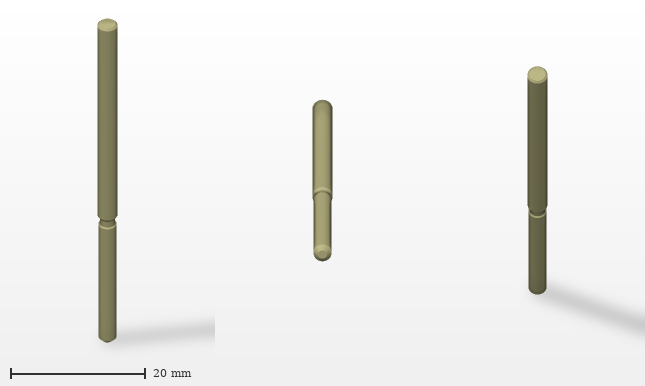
import cadquery as cq

TOTAL_LENGTH = 60.0

BARREL_RADIUS = 1.5
BARREL_BOTTOM = 23.3
BARREL_TOP_CHAMFER_WIDTH = 0.3
BARREL_TOP_CHAMFER_HEIGHT = 0.3
BARREL_BOTTOM_CHAMFER_HEIGHT = 0.55

PLUNGER_RADIUS = 1.35
NECK_RADIUS = 1.15
SHOULDER_TOP = 22.2
SHOULDER_CHAMFER_HEIGHT = 0.2
TIP_RADIUS = 0.65
TIP_CHAMFER_HEIGHT = 0.7


def revolve_profile(outer_points):
    """Turn (radius, height) points, listed from bottom to top, into a solid around Z."""
    bottom = outer_points[0][1]
    top = outer_points[-1][1]
    profile = cq.Workplane("XZ").polyline([(0, bottom), *outer_points, (0, top)]).close()
    return profile.revolve(360, (0, 0, 0), (0, 1, 0))


def make_barrel():
    """Rod chamfered at the top and tapered at the bottom to the neck radius."""
    return revolve_profile([
        (NECK_RADIUS, BARREL_BOTTOM),
        (BARREL_RADIUS, BARREL_BOTTOM + BARREL_BOTTOM_CHAMFER_HEIGHT),
        (BARREL_RADIUS, TOTAL_LENGTH - BARREL_TOP_CHAMFER_HEIGHT),
        (BARREL_RADIUS - BARREL_TOP_CHAMFER_WIDTH, TOTAL_LENGTH),
    ])


def make_plunger():
    """Rod with a conical tip, a chamfered shoulder and a neck that touches the barrel."""
    return revolve_profile([
        (TIP_RADIUS, 0),
        (PLUNGER_RADIUS, TIP_CHAMFER_HEIGHT),
        (PLUNGER_RADIUS, SHOULDER_TOP - SHOULDER_CHAMFER_HEIGHT),
        (NECK_RADIUS, SHOULDER_TOP),
        (NECK_RADIUS, BARREL_BOTTOM),
    ])


barrel = make_barrel()
plunger = make_plunger()
result = cq.Compound.makeCompound([barrel.val(), plunger.val()])